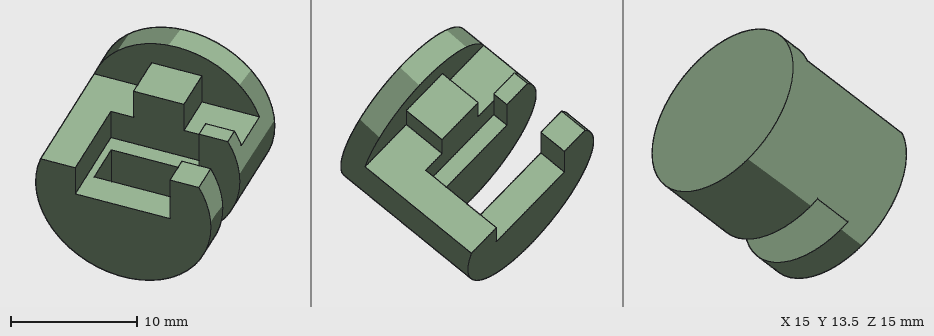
import cadquery as cq

diameter = 15.0
length = 13.5
flange_thickness = 2.2
step_length = 3.8
step_top = 2.5
lug_top = 3.8
pocket_left = -4.1
pocket_right = 4.0
pocket_floor = -0.2
key_width = 4.3
key_top = 5.2
slot_left = -3.5
slot_front = 2.5
slot_width = 3.6

radius = diameter / 2
flange_front = length - flange_thickness
step_front = flange_front - step_length


def block(x_range, y_range, z_range):
    """Axis-aligned box spanning the given (low, high) ranges."""
    (x0, x1), (y0, y1), (z0, z1) = x_range, y_range, z_range
    return cq.Workplane("XY").box(x1 - x0, y1 - y0, z1 - z0, centered=False).translate((x0, y0, z0))


body = cq.Workplane("XZ").circle(radius).extrude(-length)

body = body.cut(block((-radius, pocket_right), (0, flange_front), (step_top, radius)))

body = body.cut(block((pocket_right, radius), (0, step_front), (lug_top, radius)))
body = body.cut(block((pocket_right, radius), (step_front, flange_front), (step_top, radius)))

body = body.cut(block((pocket_left, pocket_right), (0, step_front), (pocket_floor, radius)))

slot_span = (slot_front, slot_front + slot_width)
body = body.cut(block((slot_left, radius), slot_span, (-radius, radius)))

key = block((-key_width / 2, key_width / 2), (step_front, flange_front), (pocket_floor, key_top))
result = body.union(key)